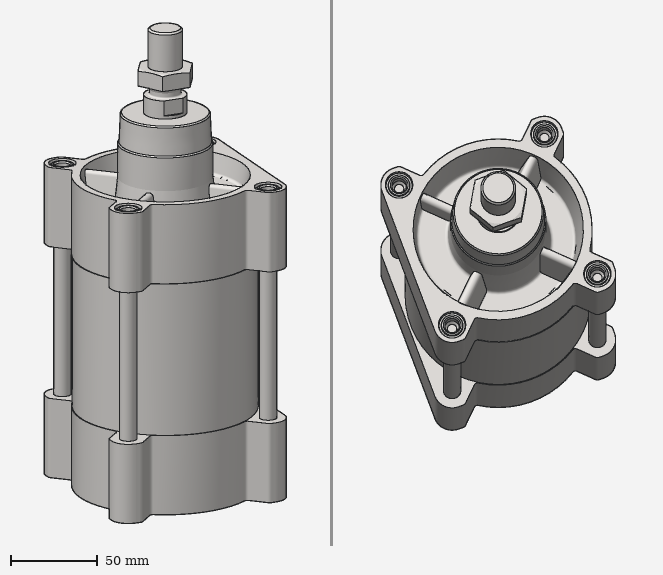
import cadquery as cq
import math

SPIGOT_HEIGHT = 4.0
CAP_HEIGHT = 48.0
TUBE_HEIGHT = 92.0
LOWER_CAP_TOP = SPIGOT_HEIGHT + CAP_HEIGHT
UPPER_CAP_BASE = LOWER_CAP_TOP + TUBE_HEIGHT
UPPER_CAP_TOP = UPPER_CAP_BASE + CAP_HEIGHT
SHOULDER_Z = 212.5
BEARING_TOP = 230.3
FLATS_BASE = 232.2
FLATS_TOP = 241.2
UNDERCUT_TOP = 244.5
THREAD_BASE = 247.2
NUT_BASE = 248.5
NUT_HEIGHT = 9.5
ROD_TOP = 281.5

CAP_WIDTH = 110.0
CAP_ROUND_DIAMETER = 108.0
TUBE_DIAMETER = 107.3
TIE_ROD_OFFSET = 44.5
TIE_ROD_DIAMETER = 10.0
LUG_CORNER_RADIUS = CAP_WIDTH / 2 - TIE_ROD_OFFSET
LUG_SHOULDER = 40.5
LUG_SHOULDER_RADIUS = 2.8
LUG_ROOT_RADIUS = 2.0

NECK_DIAMETER = 55.0
SPIGOT_CHAMFER = 0.8
TAPER_BASE_DIAMETER = 53.5
TAPER_TOP_DIAMETER = 52.0
NECK_EDGE_CHAMFER = 0.8

POCKET_RIM_RADIUS = 49.0
POCKET_DEEP = 25.3
POCKET_SHALLOW = 13.0
POCKET_WALL_DRAFT = 10.0
POCKET_CORE_DRAFT = 7.0
POCKET_CORE_DROP = 0.8
POCKET_FLOOR_RADIUS = 2.0
RIB_DROP = 2.3
RIB_TOP_WIDTH = 4.5
RIB_TOP_RADIUS = 2.5
RIB_DRAFT = 11.0
RIB_ANGLES = (45, 135, 225, 315)

RECESS_DIAMETER = 15.8
RECESS_FLOOR_DIAMETER = 15.0
RECESS_DEPTH = 1.7
SCREW_DIAMETER = 12.7
SCREW_TOP_DIAMETER = 12.0
SCREW_DROP = 0.5
SOCKET_DIAMETER = 8.5
SOCKET_RIM_DIAMETER = 10.0
SOCKET_DEPTH = 8.5
SOCKET_FLOOR_DIAMETER = 5.3

ROD_DIAMETER = 25.0
ROD_FLATS_WIDTH = 22.0
THREAD_DIAMETER = 20.0
UNDERCUT_DIAMETER = 18.3
THREAD_END_CHAMFER = 1.0
UNDERCUT_ROOT_RADIUS = 1.0
NUT_WIDTH = 30.0
NUT_CHAMFER_ANGLE = 15.0


def cylinder(diameter, base, top):
    return cq.Workplane("XY").workplane(offset=base).circle(diameter / 2).extrude(top - base)


def turned(points):
    """Solid of revolution about Z from (radius, height) points."""
    return cq.Workplane("XZ").polyline(points).close().revolve(360, (0, 0, 0), (0, 1, 0))


def lug_points():
    return [(sx * TIE_ROD_OFFSET, sy * TIE_ROD_OFFSET) for sx in (-1, 1) for sy in (-1, 1)]


def corner_lug(base, quarter_turns):
    """Lug at the (+X, +Y) corner with 45 degree flanks, turned to another corner."""
    edge = CAP_WIDTH / 2
    reach = edge - LUG_SHOULDER
    inner = LUG_SHOULDER - reach
    outline = [
        (edge, edge),
        (LUG_SHOULDER, edge),
        (inner, LUG_SHOULDER),
        (LUG_SHOULDER, inner),
        (edge, LUG_SHOULDER),
    ]
    lug = cq.Workplane("XY").workplane(offset=base).polyline(outline).close().extrude(CAP_HEIGHT)
    lug = lug.edges("|Z and (>X and >Y)").fillet(LUG_CORNER_RADIUS)
    for shoulder in ((LUG_SHOULDER, edge), (edge, LUG_SHOULDER)):
        point = (*shoulder, base + CAP_HEIGHT / 2)
        lug = lug.edges(cq.selectors.NearestToPointSelector(point)).fillet(LUG_SHOULDER_RADIUS)
    return lug.rotate((0, 0, 0), (0, 0, 1), 90 * quarter_turns)


def end_cap(base):
    cap = cylinder(CAP_ROUND_DIAMETER, base, base + CAP_HEIGHT)
    for quarter_turns in range(4):
        cap = cap.union(corner_lug(base, quarter_turns))
    bridge = (
        cq.Workplane("XY")
        .workplane(offset=base)
        .center(0, (LUG_SHOULDER + CAP_WIDTH / 2) / 2)
        .rect(2 * TIE_ROD_OFFSET, CAP_WIDTH / 2 - LUG_SHOULDER)
        .extrude(CAP_HEIGHT)
    )
    cap = cap.union(bridge)
    flank_rise = CAP_WIDTH / 2 - LUG_SHOULDER
    near = (math.sqrt(CAP_ROUND_DIAMETER**2 / 2 - flank_rise**2) - flank_rise) / 2
    far = near + flank_rise
    for side in (-1, 1):
        for x, y in ((side * far, near), (side * far, -near), (side * near, -far)):
            point = (x, y, base + CAP_HEIGHT / 2)
            cap = cap.edges(cq.selectors.NearestToPointSelector(point)).fillet(LUG_ROOT_RADIUS)
    return cap


def bearing_neck():
    neck_radius = NECK_DIAMETER / 2
    taper_base_radius = TAPER_BASE_DIAMETER / 2
    taper_top_radius = TAPER_TOP_DIAMETER / 2
    return turned([
        (0, UPPER_CAP_BASE),
        (neck_radius, UPPER_CAP_BASE),
        (neck_radius, SHOULDER_Z - NECK_EDGE_CHAMFER),
        (taper_base_radius, SHOULDER_Z),
        (taper_top_radius, BEARING_TOP - NECK_EDGE_CHAMFER),
        (taper_top_radius - NECK_EDGE_CHAMFER, BEARING_TOP),
        (0, BEARING_TOP),
    ])


def floor_step():
    """Quarter wedge that raises the pocket floor around +Y, between the two upper ribs."""
    return (
        cq.Workplane("XY")
        .workplane(offset=UPPER_CAP_BASE)
        .polyline([(0, 0), (CAP_WIDTH, CAP_WIDTH), (-CAP_WIDTH, CAP_WIDTH)])
        .close()
        .extrude(CAP_HEIGHT - POCKET_SHALLOW)
    )


def ring_pocket():
    """Ring-shaped cutter with drafted walls, a stepped floor and rounded floor corners."""
    floor = UPPER_CAP_TOP - POCKET_DEEP
    wall_inset = POCKET_DEEP * math.tan(math.radians(POCKET_WALL_DRAFT))
    core_growth = (POCKET_DEEP - POCKET_CORE_DROP) * math.tan(math.radians(POCKET_CORE_DRAFT))
    core_radius = NECK_DIAMETER / 2
    ring = turned([
        (core_radius, UPPER_CAP_TOP),
        (POCKET_RIM_RADIUS, UPPER_CAP_TOP),
        (POCKET_RIM_RADIUS - wall_inset, floor),
        (core_radius + core_growth, floor),
        (core_radius, UPPER_CAP_TOP - POCKET_CORE_DROP),
    ])
    ring = ring.cut(floor_step())
    for floor_faces in ("<Z", "<Z[1]"):
        ring = ring.faces(floor_faces).edges("%CIRCLE").fillet(POCKET_FLOOR_RADIUS)
    return ring


def rib(angle):
    top = UPPER_CAP_TOP - RIB_DROP
    top_half = RIB_TOP_WIDTH / 2
    base_half = top_half + (top - UPPER_CAP_BASE) * math.tan(math.radians(RIB_DRAFT))
    section = [
        (-base_half, UPPER_CAP_BASE),
        (base_half, UPPER_CAP_BASE),
        (top_half, top),
        (-top_half, top),
    ]
    bar = cq.Workplane("YZ").polyline(section).close().extrude(CAP_WIDTH / 2)
    bar = bar.faces(">Z").edges("|X").fillet(RIB_TOP_RADIUS)
    return bar.rotate((0, 0, 0), (0, 0, 1), angle)


def ribbed_pocket():
    pocket = ring_pocket()
    for angle in RIB_ANGLES:
        pocket = pocket.cut(rib(angle))
    return pocket


def screw_recess():
    """Cutter on the Z axis: conical ring around a screw head, and the head's socket."""
    recess_floor = UPPER_CAP_TOP - RECESS_DEPTH
    screw_top = UPPER_CAP_TOP - SCREW_DROP
    recess = turned([
        (0, recess_floor),
        (RECESS_FLOOR_DIAMETER / 2, recess_floor),
        (RECESS_DIAMETER / 2, UPPER_CAP_TOP),
        (0, UPPER_CAP_TOP),
    ])
    screw_head = turned([
        (0, recess_floor),
        (SCREW_DIAMETER / 2, recess_floor),
        (SCREW_TOP_DIAMETER / 2, screw_top),
        (0, screw_top),
    ])
    socket_floor = UPPER_CAP_TOP - SOCKET_DEPTH
    socket_cone = (SOCKET_DIAMETER - SOCKET_FLOOR_DIAMETER) / 2
    socket_bevel = (SOCKET_RIM_DIAMETER - SOCKET_DIAMETER) / 2
    socket = turned([
        (0, socket_floor),
        (SOCKET_FLOOR_DIAMETER / 2, socket_floor),
        (SOCKET_DIAMETER / 2, socket_floor + socket_cone),
        (SOCKET_DIAMETER / 2, screw_top - socket_bevel),
        (SOCKET_RIM_DIAMETER / 2, screw_top),
        (0, screw_top),
    ])
    return recess.cut(screw_head).union(socket)


def make_housing():
    housing = end_cap(SPIGOT_HEIGHT).union(end_cap(UPPER_CAP_BASE))
    housing = housing.cut(ribbed_pocket())
    housing = housing.union(cylinder(TUBE_DIAMETER, LOWER_CAP_TOP, UPPER_CAP_BASE))
    spigot = cylinder(NECK_DIAMETER, 0, SPIGOT_HEIGHT).faces("<Z").chamfer(SPIGOT_CHAMFER)
    housing = housing.union(spigot).union(bearing_neck())
    recess = screw_recess()
    for x, y in lug_points():
        tie_rod = cylinder(TIE_ROD_DIAMETER, LOWER_CAP_TOP, UPPER_CAP_BASE).translate((x, y, 0))
        housing = housing.union(tie_rod).cut(recess.translate((x, y, 0)))
    rod_bore = cylinder(ROD_DIAMETER, UPPER_CAP_BASE, BEARING_TOP)
    return housing.cut(rod_bore)


def threaded_end():
    """Thread with a chamfered tip and, below it, a tapered run-out into a round-rooted undercut."""
    thread_radius = THREAD_DIAMETER / 2
    undercut_radius = UNDERCUT_DIAMETER / 2
    root_bend = UNDERCUT_ROOT_RADIUS * (1 - math.sqrt(0.5))
    return (
        cq.Workplane("XZ")
        .moveTo(0, FLATS_TOP)
        .lineTo(undercut_radius + UNDERCUT_ROOT_RADIUS, FLATS_TOP)
        .threePointArc(
            (undercut_radius + root_bend, FLATS_TOP + root_bend),
            (undercut_radius, FLATS_TOP + UNDERCUT_ROOT_RADIUS),
        )
        .lineTo(undercut_radius, UNDERCUT_TOP)
        .lineTo(thread_radius, THREAD_BASE)
        .lineTo(thread_radius, ROD_TOP - THREAD_END_CHAMFER)
        .lineTo(thread_radius - THREAD_END_CHAMFER, ROD_TOP)
        .lineTo(0, ROD_TOP)
        .close()
        .revolve(360, (0, 0, 0), (0, 1, 0))
    )


def make_piston_rod():
    shank = cylinder(ROD_DIAMETER, UPPER_CAP_BASE, FLATS_TOP)
    for side in (-1, 1):
        flat = (
            cq.Workplane("XY")
            .workplane(offset=FLATS_BASE)
            .center(side * (ROD_FLATS_WIDTH + ROD_DIAMETER) / 2, 0)
            .rect(ROD_DIAMETER, ROD_DIAMETER)
            .extrude(FLATS_TOP - FLATS_BASE)
        )
        shank = shank.cut(flat)
    return shank.union(threaded_end())


def make_nut():
    """Hexagon with flats on the X sides and chamfered corners on the upper face."""
    corner_diameter = NUT_WIDTH / math.cos(math.radians(30))
    nut_top = NUT_BASE + NUT_HEIGHT
    hexagon = (
        cq.Workplane("XY")
        .workplane(offset=NUT_BASE)
        .polygon(6, corner_diameter)
        .extrude(NUT_HEIGHT)
        .rotate((0, 0, 0), (0, 0, 1), 90)
    )
    cone_spread = NUT_HEIGHT / math.tan(math.radians(NUT_CHAMFER_ANGLE))
    chamfer_cone = turned([
        (0, nut_top),
        (NUT_WIDTH / 2, nut_top),
        (NUT_WIDTH / 2 + cone_spread, NUT_BASE),
        (0, NUT_BASE),
    ])
    nut = hexagon.intersect(chamfer_cone)
    return nut.cut(cylinder(THREAD_DIAMETER, NUT_BASE, nut_top))


housing = make_housing()
piston_rod = make_piston_rod()
nut = make_nut()

result = cq.Compound.makeCompound([housing.val(), piston_rod.val(), nut.val()])